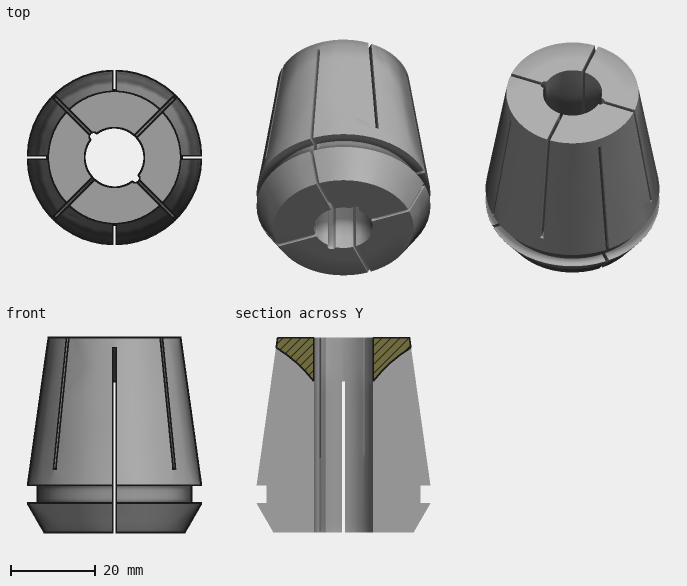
import cadquery as cq
import math

total_height = 46.0
rim_radius = 20.5
nose_height = 7.0
rim_land_height = 0.1
nose_angle = 30.0
groove_top = 11.1
groove_radius = 18.15
taper_angle = 8.0

bore_radius = 7.0
notch_radius = 1.0
notch_angles = (135.0, 315.0)

slot_width = 0.8
slots_per_end = 4
top_slot_first_angle = 45.0
bottom_slot_first_angle = 0.0

top_saw_radius = 20.0
top_saw_center_radius = 18.0
top_saw_center_z = 34.9

bottom_saw_radius = 33.0
bottom_saw_center_radius = 33.1
bottom_saw_center_z = 15.4

clearance = 0.5

nose_radius = rim_radius - (nose_height - rim_land_height) * math.tan(math.radians(nose_angle))
top_radius = rim_radius - (total_height - groove_top) * math.tan(math.radians(taper_angle))


def make_body():
    """Double-tapered body with a plain groove and a thin straight land under it."""
    return (
        cq.Workplane("XZ")
        .moveTo(0, 0)
        .lineTo(nose_radius, 0)
        .lineTo(rim_radius, nose_height - rim_land_height)
        .lineTo(rim_radius, nose_height)
        .lineTo(groove_radius, nose_height)
        .lineTo(groove_radius, groove_top)
        .lineTo(rim_radius, groove_top)
        .lineTo(top_radius, total_height)
        .lineTo(0, total_height)
        .close()
        .revolve(360, (0, 0, 0), (0, 1, 0))
    )


def make_bore():
    """Through bore with the relief notches centred on its wall."""
    bore = cq.Workplane("XY").circle(bore_radius).extrude(total_height)
    for angle in notch_angles:
        x = bore_radius * math.cos(math.radians(angle))
        y = bore_radius * math.sin(math.radians(angle))
        bore = bore.union(cq.Workplane("XY").center(x, y).circle(notch_radius).extrude(total_height))
    return bore


def make_slot(open_z, saw_radius, saw_center_radius, saw_center_z):
    """Slot along +X from height open_z to the far side of the saw blade."""
    direction = math.copysign(1, saw_center_z - open_z)

    def blade_z(radius):
        offset = radius - saw_center_radius
        return saw_center_z + direction * math.sqrt(saw_radius**2 - offset**2)

    inner = bore_radius - clearance
    outer = rim_radius + clearance
    middle = (inner + outer) / 2
    start_z = open_z - direction * clearance
    return (
        cq.Workplane("XZ")
        .moveTo(inner, start_z)
        .lineTo(outer, start_z)
        .lineTo(outer, blade_z(outer))
        .threePointArc((middle, blade_z(middle)), (inner, blade_z(inner)))
        .close()
        .extrude(slot_width / 2, both=True)
    )


def cut_slots(part, slot, first_angle):
    """Cut evenly spaced copies of a slot around Z."""
    for index in range(slots_per_end):
        angle = first_angle + index * 360 / slots_per_end
        part = part.cut(slot.rotate((0, 0, 0), (0, 0, 1), angle))
    return part


top_slot = make_slot(total_height, top_saw_radius, top_saw_center_radius, top_saw_center_z)
bottom_slot = make_slot(0, bottom_saw_radius, bottom_saw_center_radius, bottom_saw_center_z)

result = make_body().cut(make_bore())
result = cut_slots(result, top_slot, top_slot_first_angle)
result = cut_slots(result, bottom_slot, bottom_slot_first_angle)